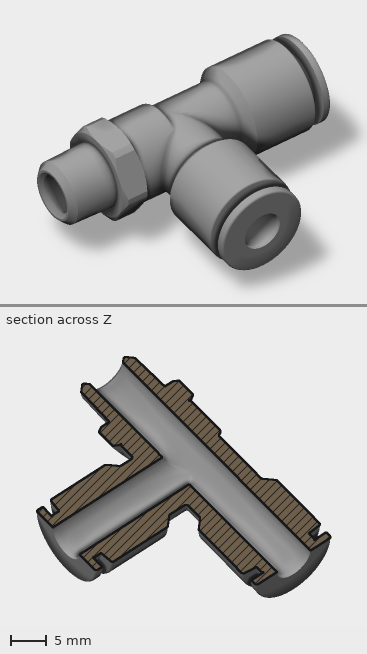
import cadquery as cq
import math


overall_length = 42.7

socket_end = 22.7
collar_radius = 6.75
collar_thickness = 1.2
collar_rounding = 0.3
neck_radius = 4.75
neck_chamfer = 0.15
shell_radius = 7.0
shell_rim = 19.75
shell_rounding = 0.25
shell_mouth_radius = 5.0
shell_mouth = 20.2
shell_base = 10.05
shoulder_angle = 45
shoulder_fillet = 0.43

pipe_radius = 5.5
joint_fillet = 0.4

stem_radius = 6.28
stem_blend_top = -0.75
stem_blend_bottom = -1.8
stem_blend_split = 0.41
stem_chamfer = 0.15

hex_top = -8.4
hex_bottom = -12.5
hex_flats = 13.0
hex_corner_radius = 7.2
hex_face_radius = 6.45
hex_chamfer_angle = 30

thread_end = socket_end - overall_length
thread_top_radius = 5.0
thread_end_radius = 4.83
thread_chamfer = 0.95

bore_radius = 3.0
bore_mouth_radius = 3.55


def turned(profile):
    """Close a (radius, height) profile on the Y axis and revolve it."""
    return profile.close().revolve(360, (0, 0, 0), (0, 1, 0))


def socket_arm():
    """Pipe, shoulder, shell and collar of one socket, pointing along +Y."""
    slope = math.radians(shoulder_angle)
    shoulder_end = shell_base - (shell_radius - pipe_radius) / math.tan(slope)
    fillet_tangent = shoulder_fillet * math.tan(slope / 2)
    fillet_top = (
        pipe_radius + fillet_tangent * math.sin(slope),
        shoulder_end + fillet_tangent * math.cos(slope),
    )
    collar_back = socket_end - collar_thickness
    profile = (
        cq.Workplane("XY")
        .lineTo(pipe_radius, 0)
        .lineTo(pipe_radius, shoulder_end - fillet_tangent)
        .tangentArcPoint(fillet_top, relative=False)
        .lineTo(shell_radius, shell_base)
        .lineTo(shell_radius, shell_rim)
        .tangentArcPoint((shell_radius - shell_rounding, shell_rim + shell_rounding), relative=False)
        .lineTo(shell_mouth_radius, shell_mouth)
        .lineTo(neck_radius, shell_mouth)
        .lineTo(neck_radius, collar_back - neck_chamfer)
        .lineTo(neck_radius - neck_chamfer, collar_back)
        .lineTo(collar_radius, collar_back)
        .lineTo(collar_radius, socket_end - collar_rounding)
        .tangentArcPoint((collar_radius - collar_rounding, socket_end), relative=False)
        .lineTo(0, socket_end)
    )
    return turned(profile)


def stem():
    """Stem below the crossing, blended out from the pipe."""
    blend_radius = pipe_radius + stem_blend_split * (stem_radius - pipe_radius)
    blend_height = stem_blend_top + stem_blend_split * (stem_blend_bottom - stem_blend_top)
    profile = (
        cq.Workplane("XY")
        .lineTo(pipe_radius, 0)
        .lineTo(pipe_radius, stem_blend_top)
        .tangentArcPoint((blend_radius, blend_height), relative=False)
        .tangentArcPoint((stem_radius, stem_blend_bottom), relative=False)
        .lineTo(stem_radius, hex_top + stem_chamfer)
        .lineTo(stem_radius - stem_chamfer, hex_top)
        .lineTo(0, hex_top)
    )
    return turned(profile)


def hexagon():
    """Hexagon trimmed by a cylinder with conical chamfers at both faces."""
    chamfer_height = (hex_corner_radius - hex_face_radius) * math.tan(math.radians(hex_chamfer_angle))
    across_corners = hex_flats / math.cos(math.radians(30))
    prism = (
        cq.Workplane("XZ", origin=(0, hex_top, 0))
        .polygon(6, across_corners)
        .extrude(hex_top - hex_bottom)
    )
    envelope = turned(
        cq.Workplane("XY")
        .moveTo(0, hex_top)
        .lineTo(hex_face_radius, hex_top)
        .lineTo(hex_corner_radius, hex_top - chamfer_height)
        .lineTo(hex_corner_radius, hex_bottom + chamfer_height)
        .lineTo(hex_face_radius, hex_bottom)
        .lineTo(0, hex_bottom)
    )
    return prism.intersect(envelope)


def thread():
    """Tapered thread blank with a 45 degree lead chamfer."""
    return turned(
        cq.Workplane("XY")
        .moveTo(0, hex_bottom)
        .lineTo(thread_top_radius, hex_bottom)
        .lineTo(thread_end_radius, thread_end + thread_chamfer)
        .lineTo(thread_end_radius - thread_chamfer, thread_end)
        .lineTo(0, thread_end)
    )


def run_bore():
    """Bore through the whole run with a countersink at the thread end."""
    return turned(
        cq.Workplane("XY")
        .moveTo(0, thread_end)
        .lineTo(bore_mouth_radius, thread_end)
        .lineTo(bore_radius, thread_end + bore_mouth_radius - bore_radius)
        .lineTo(bore_radius, socket_end)
        .lineTo(0, socket_end)
    )


run_arm = socket_arm()
branch_arm = socket_arm().rotate((0, 0, 0), (0, 0, 1), -90)
body = run_arm.union(stem()).union(branch_arm)

body = body.edges("%ELLIPSE or %BSPLINE").fillet(joint_fillet)
branch_bore = cq.Workplane("YZ").circle(bore_radius).extrude(socket_end)
result = body.union(hexagon()).union(thread()).cut(run_bore()).cut(branch_bore)